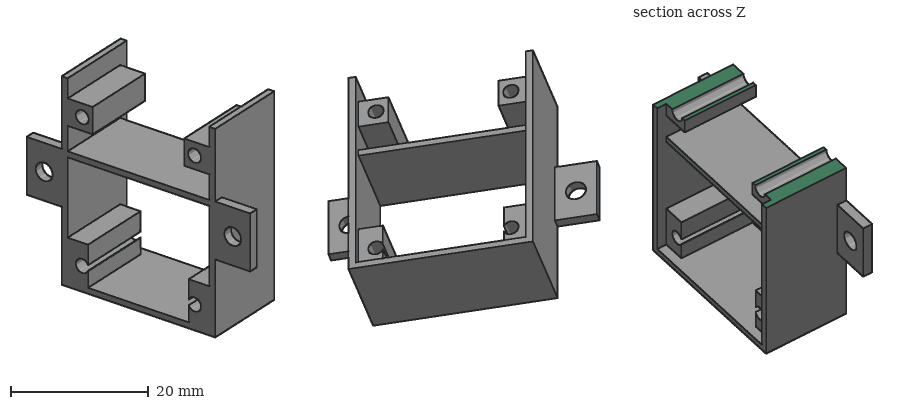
import cadquery as cq

frame_depth = 14.53
frame_height = 34.32
inner_width = 25.5
wall_thickness = 1.1
plate_thickness = 1.0
frame_width = inner_width + 2 * wall_thickness

back_setback = 1.63
inner_depth = frame_depth - back_setback
shelf_bottom = 21.3

screw_hole_diameter = 2.3
screw_spacing_x = 20.25
upper_post_size = 4.5
upper_post_bottom = 26.5
upper_screw_z = upper_post_bottom + upper_post_size / 2
lower_post_width = 3.68
lower_post_top = 8.1
lower_screw_z = 4.27

ear_span = 40.3
ear_thickness = 1.63
ear_height = 9.55
ear_center_z = 17.6
ear_hole_diameter = 3.0
ear_hole_spacing = 34.0
ear_width = (ear_span - frame_width) / 2


def block(x_start, z_start, width, depth, height):
    """Box reaching back from the front face."""
    return cq.Workplane("XY").box(width, depth, height, centered=False).translate((x_start, 0, z_start))


def hole_pair(spacing, z, diameter):
    """Two mirrored cylinders along Y, passing through the full depth."""
    return (
        cq.Workplane("XZ")
        .pushPoints([(-spacing / 2, z), (spacing / 2, z)])
        .circle(diameter / 2)
        .extrude(-frame_depth)
    )


def right_side():
    """Wall, screw posts and ear on the +X side."""
    inner_x = inner_width / 2
    wall = block(inner_x, 0, wall_thickness, frame_depth, frame_height)
    upper_post = block(
        inner_x - upper_post_size, upper_post_bottom, upper_post_size, inner_depth, upper_post_size
    )
    lower_post = block(inner_x - lower_post_width, 0, lower_post_width, inner_depth, lower_post_top)
    ear = block(frame_width / 2, ear_center_z - ear_height / 2, ear_width, ear_thickness, ear_height)
    return wall.union(upper_post).union(lower_post).union(ear)


floor = block(-frame_width / 2, 0, frame_width, frame_depth, plate_thickness)
shelf = block(-inner_width / 2, shelf_bottom, inner_width, inner_depth, plate_thickness)
side = right_side()
body = floor.union(shelf).union(side).union(side.mirror("YZ"))

upper_holes = hole_pair(screw_spacing_x, upper_screw_z, screw_hole_diameter)
lower_holes = hole_pair(screw_spacing_x, lower_screw_z, screw_hole_diameter)
ear_holes = hole_pair(ear_hole_spacing, ear_center_z, ear_hole_diameter)

result = body.cut(upper_holes).cut(lower_holes).cut(ear_holes)